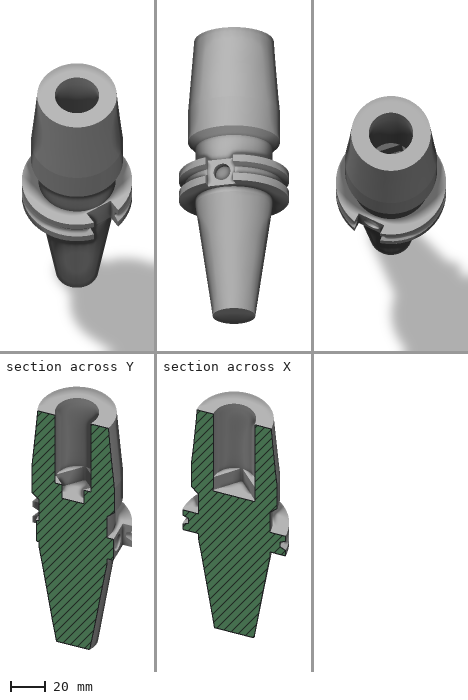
import cadquery as cq


total_height = 169.8

taper_ratio = 7 / 24
taper_length = 68.5
shank_radius = 22.3
shank_tip_radius = shank_radius - taper_length * taper_ratio / 2

shank_collar_height = 3.0
flange_radius = 31.8
flange_height = 16.0
flange_bottom = taper_length + shank_collar_height
flange_top = flange_bottom + flange_height

groove_radius = 28.2
groove_center = 79.7
groove_floor_width = 3.4
groove_flank_height = 1.9
groove_floor_bottom = groove_center - groove_floor_width / 2
groove_floor_top = groove_center + groove_floor_width / 2

head_radius = 26.5
head_tip_radius = 23.0
neck_top = 103.3
head_bevel_top = neck_top + head_radius - shank_radius
head_cylinder_top = 125.7

slot_width = 16.5
left_slot_floor = 25.1
right_slot_floor = 22.8

side_hole_diameter = 10.0
side_hole_depth = 4.6

bore_diameter = 25.5
bore_depth = 51.0
socket_width = 18.9
socket_depth = 10.2


def turned_body():
    """Revolve the outer half profile about Z."""
    profile = [
        (0, 0),
        (shank_tip_radius, 0),
        (shank_radius, taper_length),
        (shank_radius, flange_bottom),
        (flange_radius, flange_bottom),
        (flange_radius, groove_floor_bottom - groove_flank_height),
        (groove_radius, groove_floor_bottom),
        (groove_radius, groove_floor_top),
        (flange_radius, groove_floor_top + groove_flank_height),
        (flange_radius, flange_top),
        (shank_radius, flange_top),
        (shank_radius, neck_top),
        (head_radius, head_bevel_top),
        (head_radius, head_cylinder_top),
        (head_tip_radius, total_height),
        (0, total_height),
    ]
    return cq.Workplane("XZ").polyline(profile).close().revolve(360, (0, 0), (0, 1))


def drive_slot(side, floor):
    """Block that opens the flange from floor outwards; side is -1 for -X, +1 for +X."""
    return (
        cq.Workplane("XY", origin=(side * (floor + flange_radius / 2), 0, flange_bottom))
        .box(flange_radius, slot_width, flange_height, centered=(True, True, False))
    )


def side_hole():
    """Cylinder running in +X from the floor of the -X slot."""
    return (
        cq.Workplane("YZ", origin=(-left_slot_floor, 0, groove_center))
        .circle(side_hole_diameter / 2)
        .extrude(side_hole_depth)
    )


def tool_bore():
    """Blind round bore from the top."""
    return (
        cq.Workplane("XY", origin=(0, 0, total_height))
        .circle(bore_diameter / 2)
        .extrude(-bore_depth)
    )


def square_socket():
    """Square set corner-on to X and Y, its corners trimmed to the bore diameter."""
    socket_top = cq.Workplane("XY", origin=(0, 0, total_height - bore_depth))
    square = (
        socket_top.transformed(rotate=(0, 0, 45))
        .rect(socket_width, socket_width)
        .extrude(-socket_depth)
    )
    trim = socket_top.circle(bore_diameter / 2).extrude(-socket_depth)
    return square.intersect(trim)


result = (
    turned_body()
    .cut(drive_slot(-1, left_slot_floor))
    .cut(drive_slot(1, right_slot_floor))
    .cut(side_hole())
    .cut(tool_bore())
    .cut(square_socket())
)